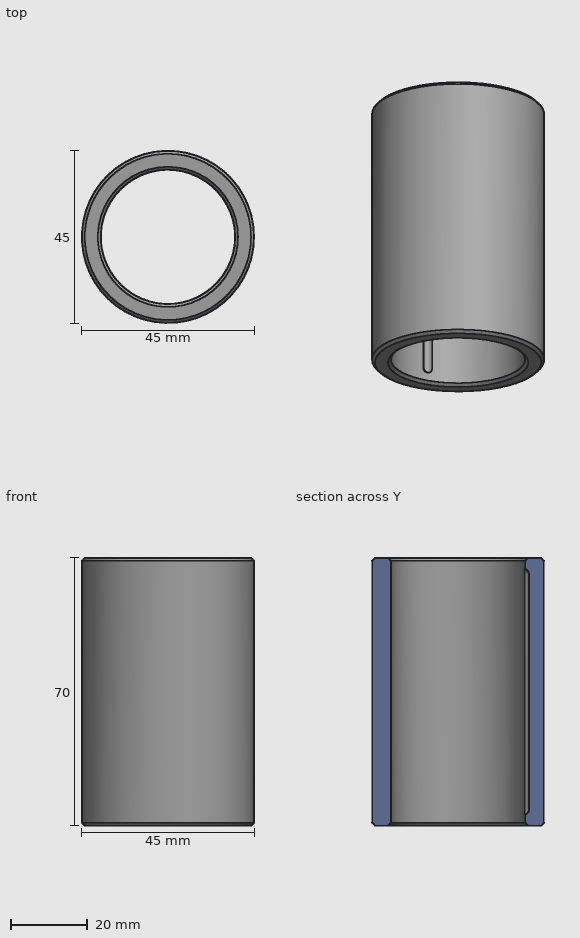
import cadquery as cq

outer_diameter = 45.0
bore_diameter = 35.0
length = 70.0
edge_chamfer = 0.8

groove_radius = 1.25
groove_depth = 1.0
groove_end_margin = 3.0

bore_radius = bore_diameter / 2
groove_axis_x = bore_radius + groove_depth - groove_radius
lower_ball_z = groove_end_margin + groove_radius
upper_ball_z = length - lower_ball_z


def sleeve():
    """Tube with both rims chamfered inside and outside."""
    tube = (
        cq.Workplane("XY")
        .circle(outer_diameter / 2)
        .circle(bore_radius)
        .extrude(length)
    )
    return tube.faces("<Z or >Z").edges().chamfer(edge_chamfer)


def groove_cutter():
    """Ball-ended rod parallel to Z that reaches the groove depth into the bore wall."""
    rod = (
        cq.Workplane("XY", origin=(groove_axis_x, 0, lower_ball_z))
        .circle(groove_radius)
        .extrude(upper_ball_z - lower_ball_z)
    )
    for ball_z in (lower_ball_z, upper_ball_z):
        ball = cq.Workplane("XY", origin=(groove_axis_x, 0, ball_z)).sphere(groove_radius)
        rod = rod.union(ball)
    return rod


result = sleeve().cut(groove_cutter())